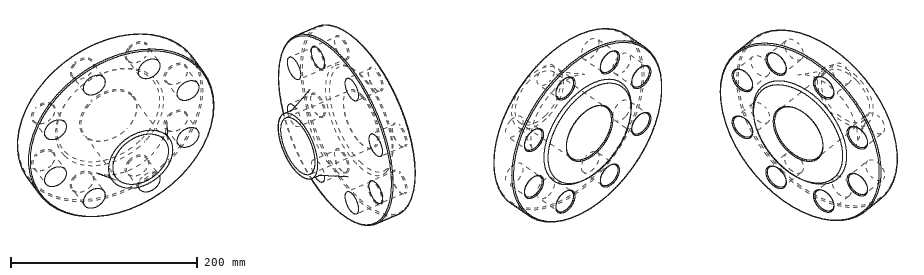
import cadquery as cq

total_length = 82.0
flange_diameter = 220.0
flange_back_x = 34.0
flange_edge_chamfer = 1.3

raised_face_height = 3.0
raised_face_diameter = 121.9

neck_diameter = 76.1
neck_start_x = 70.0
hub_base_diameter = 107.0
hub_blend_radius = 5.0

bore_diameter = 66.0
bore_chamfer = 1.0

bolt_count = 8
bolt_circle_diameter = 170.0
bolt_hole_diameter = 26.0
bolt_hole_chamfer = 1.0

overlap = 2.2


def revolve_profile(points):
    """Revolve an outline of (x, radius) points about the X axis."""
    return cq.Workplane("XY").polyline(points).close().revolve(360, (0, 0, 0), (1, 0, 0))


def hole_cutter(diameter, start_x, end_x, chamfer):
    """Through-hole along X with a 45 degree chamfer at its raised-face end."""
    radius = diameter / 2
    mouth_radius = radius + chamfer
    return revolve_profile([
        (start_x - overlap, 0),
        (start_x - overlap, mouth_radius),
        (start_x, mouth_radius),
        (start_x + chamfer, radius),
        (end_x + overlap, radius),
        (end_x + overlap, 0),
    ])


def make_body():
    """Raised face, flange disc, tapered hub and neck as one turned solid."""
    flange_radius = flange_diameter / 2
    raised_face_radius = raised_face_diameter / 2
    hub_base_radius = hub_base_diameter / 2
    neck_radius = neck_diameter / 2
    body = revolve_profile([
        (0, 0),
        (0, raised_face_radius),
        (raised_face_height, raised_face_radius + raised_face_height),
        (raised_face_height, flange_radius - flange_edge_chamfer),
        (raised_face_height + flange_edge_chamfer, flange_radius),
        (flange_back_x - flange_edge_chamfer, flange_radius),
        (flange_back_x, flange_radius - flange_edge_chamfer),
        (flange_back_x, hub_base_radius),
        (neck_start_x, neck_radius),
        (total_length, neck_radius),
        (total_length, 0),
    ])
    hub_base_edge = cq.selectors.RadiusNthSelector(1)
    neck_edge = cq.selectors.NearestToPointSelector((neck_start_x, 0, 0))
    body = body.edges("%CIRCLE").edges(hub_base_edge).fillet(hub_blend_radius)
    return body.edges(neck_edge).fillet(hub_blend_radius)


def cut_bolt_holes(body):
    """Bolt holes on a circle, straddling the Y and Z centre planes."""
    pitch_angle = 360 / bolt_count
    cutter = hole_cutter(bolt_hole_diameter, raised_face_height, flange_back_x, bolt_hole_chamfer)
    cutter = cutter.translate((0, 0, bolt_circle_diameter / 2))
    for index in range(bolt_count):
        angle = (index + 0.5) * pitch_angle
        body = body.cut(cutter.rotate((0, 0, 0), (1, 0, 0), angle))
    return body


bore = hole_cutter(bore_diameter, 0, total_length, bore_chamfer)
result = cut_bolt_holes(make_body().cut(bore))